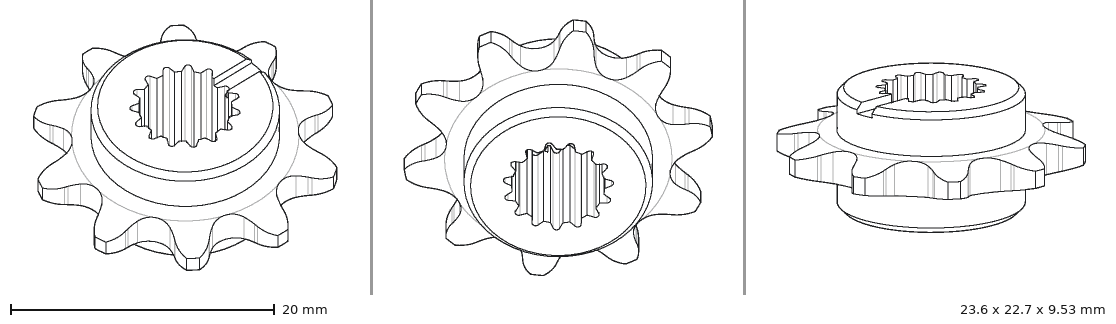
import cadquery as cq
import math

INCH = 25.4
tooth_count = 10
chain_pitch = 0.25 * INCH
roller_dia = 0.130 * INCH

tip_radius = 11.78
plate_thickness = 2.77
tip_thickness = 1.36
taper_start_radius = 8.62

hub_dia = 9 / 16 * INCH
hub_length = 3 / 8 * INCH
hub_chamfer = 0.5

spline_count = 15
spline_minor_radius = 3.53
groove_mouth_half_width = 0.47
groove_crown_half_width = 0.25
groove_crown_radius = 4.02

slot_width = 1.6
slot_depth = 0.8


def polar(radius, degrees):
    angle = math.radians(degrees)
    return cq.Vector(radius * math.cos(angle), radius * math.sin(angle))


def tooth_gap():
    """One tooth gap, opening along +Y and running past the tips.

    The angles (in degrees) and arc radii follow the ANSI B29.1 sprocket tooth form.
    """
    pitch_half_angle = 180 / tooth_count
    pitch_radius = chain_pitch / (2 * math.sin(math.radians(pitch_half_angle)))
    seat_radius = (1.005 * roller_dia + 0.003 * INCH) / 2
    seat_angle = 35 + 60 / tooth_count
    working_angle = 18 - 56 / tooth_count
    flank_angle = seat_angle - working_angle
    topping_angle = 17 - 64 / tooth_count
    working_centre_offset = 0.8 * roller_dia
    topping_centre_offset = 1.4 * roller_dia
    working_radius = working_centre_offset + seat_radius
    topping_radius = (
        working_centre_offset * math.cos(math.radians(working_angle))
        + topping_centre_offset * math.cos(math.radians(topping_angle))
        - working_radius
    )

    seat_centre = cq.Vector(0, pitch_radius)
    working_centre = seat_centre - polar(working_centre_offset, -seat_angle)
    topping_centre = seat_centre + polar(topping_centre_offset, -pitch_half_angle)

    root = seat_centre - cq.Vector(0, seat_radius)
    seat_end = seat_centre + polar(seat_radius, -seat_angle)
    working_mid = working_centre + polar(working_radius, -(seat_angle + flank_angle) / 2)
    working_end = working_centre + polar(working_radius, -flank_angle)
    topping_start = topping_centre - polar(topping_radius, -flank_angle)

    topping_end_angle = 70
    topping_mid = topping_centre - polar(topping_radius, -(flank_angle + topping_end_angle) / 2)
    topping_end = topping_centre - polar(topping_radius, -topping_end_angle)

    outer_apex = cq.Vector(0, 1.2 * tip_radius)

    def mirrored(point):
        return cq.Vector(-point.x, point.y)

    return (
        cq.Workplane("XY")
        .workplane(offset=-plate_thickness)
        .moveTo(-seat_end.x, seat_end.y)
        .threePointArc(root, seat_end)
        .threePointArc(working_mid, working_end)
        .lineTo(topping_start.x, topping_start.y)
        .threePointArc(topping_mid, topping_end)
        .lineTo(outer_apex.x, outer_apex.y)
        .lineTo(-topping_end.x, topping_end.y)
        .threePointArc(mirrored(topping_mid), mirrored(topping_start))
        .lineTo(-working_end.x, working_end.y)
        .threePointArc(mirrored(working_mid), mirrored(seat_end))
        .close()
        .extrude(2 * plate_thickness)
    )


def toothed_plate():
    """Disc tapered towards the rim on both faces, with the tooth gaps cut out."""
    plate = (
        cq.Workplane("XZ")
        .polyline([
            (0, -plate_thickness / 2),
            (taper_start_radius, -plate_thickness / 2),
            (tip_radius, -tip_thickness / 2),
            (tip_radius, tip_thickness / 2),
            (taper_start_radius, plate_thickness / 2),
            (0, plate_thickness / 2),
        ])
        .close()
        .revolve(360, (0, 0), (0, 1))
    )
    gap = tooth_gap()
    for index in range(tooth_count):
        angle = index * 360 / tooth_count
        plate = plate.cut(gap.rotate((0, 0, 0), (0, 0, 1), angle))
    return plate


def hub():
    return (
        cq.Workplane("XY")
        .circle(hub_dia / 2)
        .extrude(hub_length / 2, both=True)
        .edges("%CIRCLE and (>Z or <Z)")
        .chamfer(hub_chamfer)
    )


def splined_bore():
    """Solid to remove for the bore: a cylinder with round-ended grooves, one at +Y."""
    bore = cq.Workplane("XY").circle(spline_minor_radius).extrude(hub_length, both=True)
    mouth_radius = math.sqrt(spline_minor_radius**2 - groove_mouth_half_width**2)
    groove = (
        cq.Workplane("XY")
        .moveTo(0, 0)
        .lineTo(groove_mouth_half_width, mouth_radius)
        .lineTo(groove_crown_half_width, groove_crown_radius)
        .tangentArcPoint((-groove_crown_half_width, groove_crown_radius), relative=False)
        .lineTo(-groove_mouth_half_width, mouth_radius)
        .close()
        .extrude(hub_length, both=True)
    )
    for index in range(spline_count):
        angle = index * 360 / spline_count
        bore = bore.union(groove.rotate((0, 0, 0), (0, 0, 1), angle))
    return bore


def timing_slot():
    """Shallow radial slot from the bore out through the hub rim, along +Y."""
    return (
        cq.Workplane("XY")
        .workplane(offset=hub_length / 2 - slot_depth)
        .center(0, hub_dia / 2)
        .rect(slot_width, hub_dia)
        .extrude(hub_length)
    )


result = toothed_plate().union(hub()).cut(splined_bore()).cut(timing_slot())